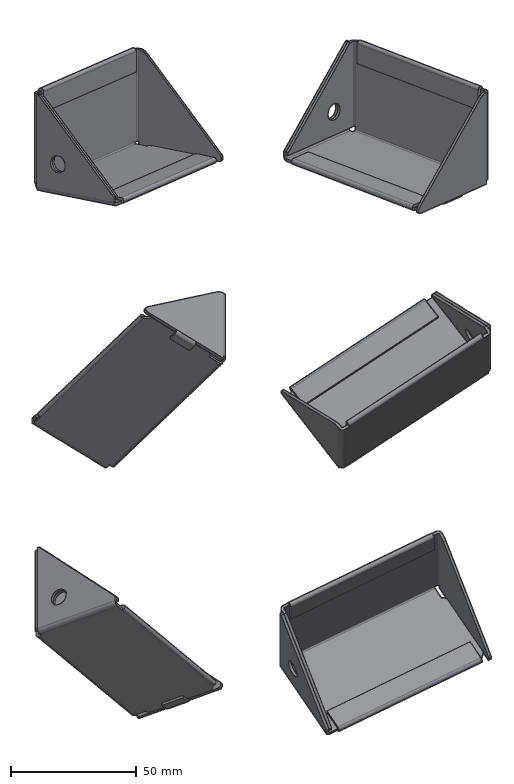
import cadquery as cq
import math

length = 75.0
depth = 41.6
height = 42.75
thickness = 1.2
gap = 0.1
inner_radius = 0.5
bend_radius = inner_radius + thickness

base_bottom = thickness + gap
base_top = base_bottom + thickness
bend_top = base_bottom + bend_radius
relief = 3.0
wall_back = length - bend_radius
inner_end_front = thickness + gap

hem_inner_radius = gap / 2
hem_radius = hem_inner_radius + thickness
hem_start = 5.25
hem_end = 71.1
hem_return = 8.7
wall_top = height - hem_radius
base_right = 39.9

slope_sum = 45.2
outer_end_left = 2.7
inner_end_bottom = 4.1
back_top_radius = 4.7
back_tip_radius = 2.0
back_bottom_radius = 1.2
hole_x = 13.0
hole_z = 14.3
hole_diameter = 7.05

base_back = 73.65
back_cut_left = 6.9
back_cut_slant = 1.2
back_right_chamfer = base_back - hem_end

tab_left = 15.75
tab_width = 10.0
tab_length = 4.6


def block(x0, x1, y0, y1, z0, z1):
    """Box between two opposite corners."""
    return cq.Workplane("XY").box(x1 - x0, y1 - y0, z1 - z0, centered=False).translate((x0, y0, z0))


def bend(plane, center, quadrant, inner, width):
    """Quarter ring of sheet; quadrant holds the signs of its two plane directions."""
    outer = inner + thickness
    u, v = center
    su, sv = quadrant
    diagonal = math.sqrt(0.5)
    return (
        cq.Workplane(plane)
        .moveTo(u + su * inner, v)
        .lineTo(u + su * outer, v)
        .threePointArc((u + su * outer * diagonal, v + sv * outer * diagonal), (u, v + sv * outer))
        .lineTo(u, v + sv * inner)
        .threePointArc((u + su * inner * diagonal, v + sv * inner * diagonal), (u + su * inner, v))
        .close()
        .extrude(width)
    )


def bend_along_y(center, quadrant, inner, start, end):
    """Bend in the XZ plane, running from start to end along Y."""
    return bend("XZ", center, quadrant, inner, start - end).translate((0, start, 0))


def triangle(left, bottom, right, outer_y):
    """Upright end plate whose front face is at outer_y."""
    return (
        cq.Workplane("XZ")
        .polyline([
            (left, bottom),
            (right, bottom),
            (right, slope_sum - right),
            (slope_sum - wall_top, wall_top),
            (left, wall_top),
        ])
        .close()
        .extrude(-thickness)
        .translate((0, outer_y, 0))
    )


def make_base():
    """Base plate with its corner reliefs, wall bend and right hem."""
    slant_x = back_cut_left + back_cut_slant
    slant_y = base_back - back_cut_slant
    plate = (
        cq.Workplane("XY")
        .workplane(offset=base_bottom)
        .polyline([
            (outer_end_left, bend_radius),
            (base_right, bend_radius),
            (base_right, hem_end),
            (base_right - back_right_chamfer, base_back),
            (slant_x, base_back),
            (back_cut_left, slant_y),
            (back_cut_left, length - relief),
            (bend_radius, length - relief),
            (bend_radius, relief),
            (outer_end_left, relief),
        ])
        .close()
        .extrude(thickness)
    )
    hem_center = (base_right, base_bottom + hem_radius)
    return_bottom = base_top + gap
    plate = plate.union(bend_along_y((bend_radius, bend_top), (-1, -1), inner_radius, relief, length - relief))
    for side in (-1, 1):
        plate = plate.union(bend_along_y(hem_center, (1, side), hem_inner_radius, hem_start, hem_end))
    return plate.union(block(base_right - hem_return, base_right, hem_start, hem_end,
                             return_bottom, return_bottom + thickness))


def make_wall():
    """Tall wall with the hem along its top edge."""
    wall = block(0, thickness, relief, wall_back, bend_top, wall_top)
    for side in (-1, 1):
        wall = wall.union(bend_along_y((hem_radius, wall_top), (side, 1), hem_inner_radius, hem_start, hem_end))
    return_left = thickness + gap
    return wall.union(block(return_left, return_left + thickness, hem_start, hem_end,
                            wall_top - hem_return, wall_top))


def make_front_end():
    """Two overlapping triangles: the outer from the base, the inner from the wall."""
    outer = triangle(outer_end_left, bend_top, base_right, 0)
    outer_bend = bend("YZ", (bend_radius, bend_top), (-1, -1), inner_radius, base_right - outer_end_left)
    inner = triangle(bend_radius, inner_end_bottom, base_right, inner_end_front)
    inner_bend = bend("XY", (bend_radius, inner_end_front + bend_radius), (-1, -1),
                      inner_radius, wall_top - inner_end_bottom)
    hole = (
        cq.Workplane("XZ")
        .center(hole_x, hole_z)
        .circle(hole_diameter / 2)
        .extrude(-(inner_end_front + thickness))
    )
    return (
        outer.union(outer_bend.translate((outer_end_left, 0, 0)))
        .union(inner)
        .union(inner_bend.translate((0, 0, inner_end_bottom)))
        .cut(hole)
    )


def round_corner(plate, x, z, radius):
    """Round the edge of an end plate that runs along Y through (x, z)."""
    corner = cq.selectors.NearestToPointSelector((x, length - thickness / 2, z))
    return plate.edges("|Y").edges(corner).fillet(radius)


def make_back_end():
    """Rounded back triangle, its bend to the wall and the tab under the base."""
    plate = triangle(bend_radius, base_bottom, depth, length - thickness)
    plate = round_corner(plate, slope_sum - wall_top, wall_top, back_top_radius)
    plate = round_corner(plate, depth, slope_sum - depth, back_tip_radius)
    plate = round_corner(plate, depth, base_bottom, back_bottom_radius)
    wall_bend = bend("XY", (bend_radius, wall_back), (-1, 1), inner_radius, wall_top - bend_top)
    tab_bend = bend("YZ", (wall_back, bend_radius), (1, -1), inner_radius, tab_width)
    tab = block(tab_left, tab_left + tab_width, length - tab_length, wall_back, 0, thickness)
    return (
        plate.union(wall_bend.translate((0, 0, bend_top)))
        .union(tab_bend.translate((tab_left, 0, 0)))
        .union(tab)
    )


result = make_base().union(make_wall()).union(make_front_end()).union(make_back_end())